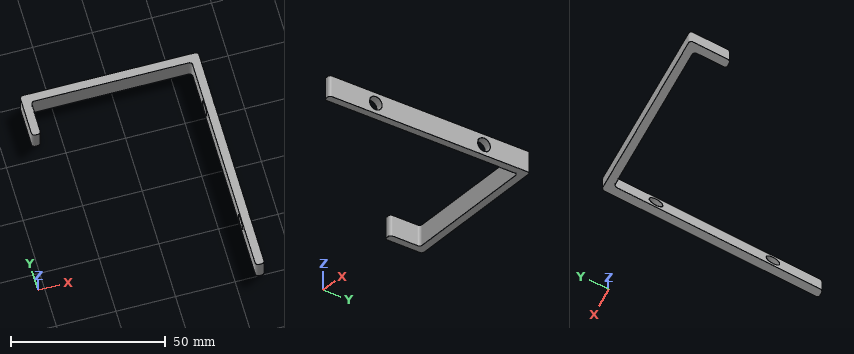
import cadquery as cq

width = 60.0
length = 80.0
height = 8.0
thickness = 3.0
short_leg = 15.0
edge_radius = 1.0

hole_diameter = 5.0
hole_inset = 18.5


def strip_profile():
    """Hook outline in plan, with its outer corner by the short leg at (0, length)."""
    return [
        (0, length),
        (width, length),
        (width, 0),
        (width - thickness, 0),
        (width - thickness, length - thickness),
        (thickness, length - thickness),
        (thickness, length - short_leg),
        (0, length - short_leg),
    ]


def make_strip():
    """Extruded hook with rounded corners and leg tips."""
    strip = cq.Workplane("XY").polyline(strip_profile()).close().extrude(height)
    return strip.edges("|Z").fillet(edge_radius)


def make_holes():
    """Cylinders along X that cross only the long leg."""
    positions = [(hole_inset, height / 2), (length - hole_inset, height / 2)]
    return (
        cq.Workplane("YZ", origin=(width - 2 * thickness, 0, 0))
        .pushPoints(positions)
        .circle(hole_diameter / 2)
        .extrude(3 * thickness)
    )


result = make_strip().cut(make_holes())